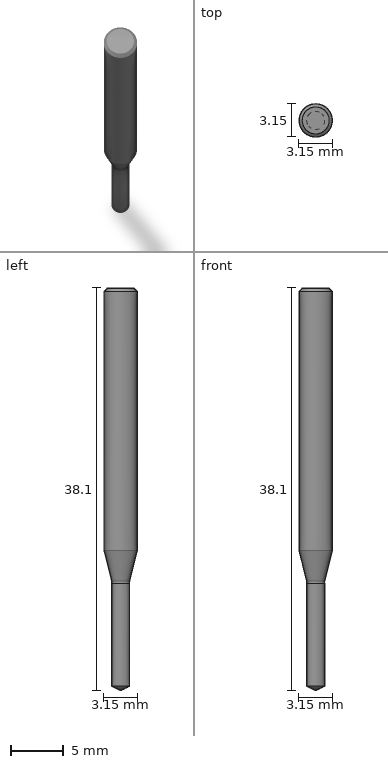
import cadquery as cq

total_length = 38.1
shank_diameter = 3.15
cutter_diameter = 1.7
shank_chamfer = 0.3
point_height = 0.42
cutter_length = 10.15
collar_height = 0.23
taper_height = 2.9

shank_radius = shank_diameter / 2
cutter_radius = cutter_diameter / 2
taper_bottom = cutter_length + collar_height
taper_top = taper_bottom + taper_height


def make_shank():
    """Chamfered round shank that tapers down to a collar at the joint."""
    half_profile = [
        (0, cutter_length),
        (-cutter_radius, cutter_length),
        (-cutter_radius, taper_bottom),
        (-shank_radius, taper_top),
        (-shank_radius, total_length - shank_chamfer),
        (-shank_radius + shank_chamfer, total_length),
        (0, total_length),
    ]
    return cq.Workplane("XZ").polyline(half_profile).close().revolve(360, (0, 0), (0, 1))


def make_cutter():
    """Round cutter with a conical point, butted against the shank collar."""
    half_profile = [
        (0, 0),
        (-cutter_radius, point_height),
        (-cutter_radius, cutter_length),
        (0, cutter_length),
    ]
    return cq.Workplane("YZ").polyline(half_profile).close().revolve(360, (0, 0), (0, 1))


shank = make_shank()
cutter = make_cutter()

result = cq.Compound.makeCompound([shank.val(), cutter.val()])